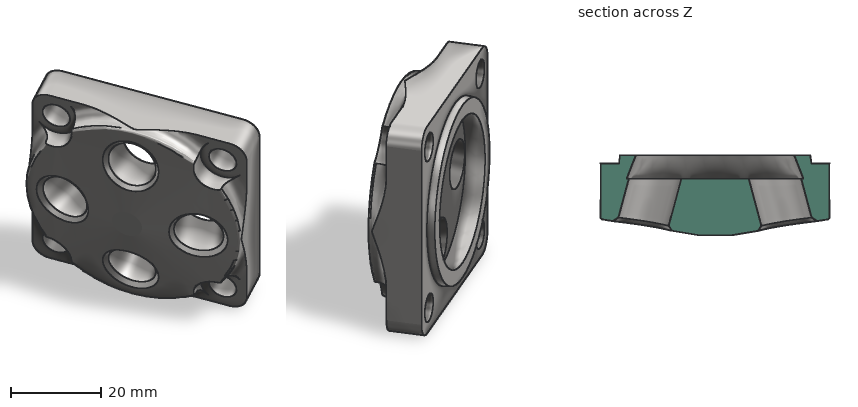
import cadquery as cq
import math

side = 50.8
corner_radius = 4.05
depth = 17.8
shoulder_y = 7.8
plate_back_y = 16.0

disc_radius = side / 2
tip_radius = 3.55
rim_y = 3.5
rim_round = 0.6
cove_radius = 3.35

lip_base_radius = 21.35
lip_base_height = 0.4
lip_end_radius = 21.15

bolt_offset = 19.7
bolt_diameter = 6.5
pad_diameter = 10.5

port_count = 4
port_radius = 5.6
port_offset = 16.1
port_chamfer = 1.0
port_tilt = 15.0

chamber_floor_y = 12.6
chamber_floor_radius = 19.55
chamber_mouth_radius = 17.55


def cylinder(radius, x, z, start_y, end_y):
    """Cylinder along Y."""
    return cq.Workplane(cq.Solid.makeCylinder(
        radius, end_y - start_y, cq.Vector(x, start_y, z), cq.Vector(0, 1, 0)))


def make_front():
    """Revolved cone, rounded rim and cove, trimmed to the square outline."""
    diagonal = side / math.sqrt(2)
    rim_inner = disc_radius - rim_round
    rim_end_y = rim_y + rim_round
    cove_start_y = shoulder_y - cove_radius
    cove_end = disc_radius + cove_radius
    diagonal_step = math.sqrt(0.5)
    rim_middle = (rim_inner + rim_round * diagonal_step,
                  rim_end_y - rim_round * diagonal_step)
    cove_middle = (cove_end - cove_radius * diagonal_step,
                   cove_start_y + cove_radius * diagonal_step)
    profile = (
        cq.Workplane("XY")
        .moveTo(0, 0)
        .lineTo(tip_radius, 0)
        .lineTo(rim_inner, rim_y)
        .threePointArc(rim_middle, (disc_radius, rim_end_y))
        .lineTo(disc_radius, cove_start_y)
        .threePointArc(cove_middle, (cove_end, shoulder_y))
        .lineTo(diagonal, shoulder_y)
        .lineTo(diagonal, plate_back_y)
        .lineTo(0, plate_back_y)
        .close()
    )
    turned = profile.revolve(360, (0, 0, 0), (0, 1, 0))
    outline = (
        cq.Workplane("XZ")
        .rect(side, side)
        .extrude(-plate_back_y)
        .edges("|Y")
        .fillet(corner_radius)
    )
    return turned.intersect(outline)


def make_lip():
    lip_base_y = plate_back_y + lip_base_height
    return (
        cq.Workplane("XY")
        .moveTo(0, plate_back_y)
        .lineTo(lip_base_radius, plate_back_y)
        .lineTo(lip_base_radius, lip_base_y)
        .lineTo(lip_end_radius, depth)
        .lineTo(0, depth)
        .close()
        .revolve(360, (0, 0, 0), (0, 1, 0))
    )


def make_chamber():
    return (
        cq.Workplane("XY")
        .moveTo(0, chamber_floor_y)
        .lineTo(chamber_floor_radius, chamber_floor_y)
        .lineTo(chamber_mouth_radius, depth)
        .lineTo(0, depth)
        .close()
        .revolve(360, (0, 0, 0), (0, 1, 0))
    )


def make_port():
    """Inclined bore of the upper port, ending in the chamber."""
    mouth_y = rim_y * (port_offset - tip_radius) / (disc_radius - rim_round - tip_radius)
    mouth = cq.Vector(0, mouth_y, port_offset)
    tilt = math.radians(port_tilt)
    axis = cq.Vector(0, math.cos(tilt), -math.sin(tilt))
    bore = cq.Workplane(cq.Solid.makeCylinder(
        port_radius, 2 * depth, mouth - axis * (depth / 2), axis))
    return bore.intersect(cylinder(side, 0, 0, -depth, chamber_floor_y))


result = make_front().union(make_lip()).cut(make_chamber())

for x in (-bolt_offset, bolt_offset):
    for z in (-bolt_offset, bolt_offset):
        result = result.cut(cylinder(pad_diameter / 2, x, z, 0, shoulder_y))
        result = result.cut(cylinder(bolt_diameter / 2, x, z, 0, depth))

port = make_port()
for index in range(port_count):
    angle = index * 360 / port_count
    result = result.cut(port.rotate((0, 0, 0), (0, 1, 0), angle))

tip_clearance = 0.25
reach = port_offset + port_radius + port_chamfer
mouth_region = cq.selectors.BoxSelector(
    (-reach, tip_clearance, -reach), (reach, rim_y, reach), boundingbox=True)
result = result.edges(mouth_region).chamfer(port_chamfer)